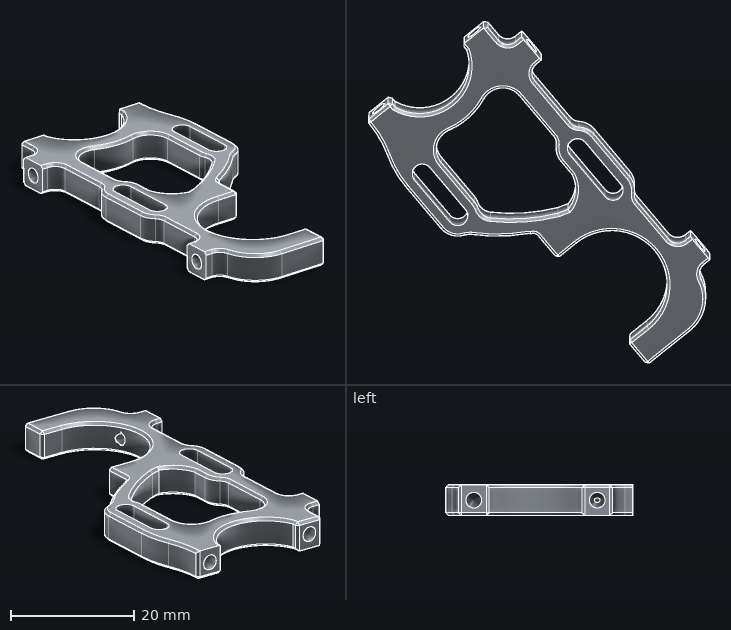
import cadquery as cq
import math

TOLERANCE = 0.0005

LENGTH = 60.25
THICKNESS = 5.0
CHAMFER = 0.5
FILLET = 2.0
WALL_RADIUS = 3.5

END_WIDTH = 5.0
HALF_END = END_WIDTH / 2
PAD_Y_LOW = 5.8
PAD_SPACING = 20.0
PAD_Y_HIGH = PAD_Y_LOW + PAD_SPACING
PAD_TOP = PAD_Y_HIGH + HALF_END
BOSS_X_LEFT = 7.65
BOSS_SPACING = 43.0
BOSS_X_RIGHT = BOSS_X_LEFT + BOSS_SPACING

HOLE_DIAMETER = 2.5
PAD_HOLE_DEPTH = 5.9
BOSS_HOLE_DEPTH = 6.75
DRILL_POINT_ANGLE = 118

SLOT_RADIUS = 1.6
SLOT_SPAN = 9.05
UPPER_SLOT = (12.45, 26.85)
LOWER_SLOT = (25.2, 4.75)
UPPER_SLOT_END = (UPPER_SLOT[0] + SLOT_SPAN, UPPER_SLOT[1])
LOWER_SLOT_END = (LOWER_SLOT[0] + SLOT_SPAN, LOWER_SLOT[1])
TOP = UPPER_SLOT[1] + WALL_RADIUS
SWELL_START = 0.6

RAIL_HALF_WIDTH = 1.75
RAIL_BOTTOM = LOWER_SLOT[1] - RAIL_HALF_WIDTH
RAIL_TOP = LOWER_SLOT[1] + RAIL_HALF_WIDTH

BLEND_DISTANCE = WALL_RADIUS + FILLET
BLEND_RISE = RAIL_HALF_WIDTH + FILLET
BLEND_REACH = math.sqrt(BLEND_DISTANCE**2 - BLEND_RISE**2)
BLEND_ANGLE = math.degrees(math.asin(BLEND_RISE / BLEND_DISTANCE))

RECESS_RADIUS = 8.0
RECESS_CENTRE = (-1.7, PAD_Y_LOW + PAD_SPACING / 2)

CRADLE_RADIUS = 9.0
CRADLE_CENTRE = (LENGTH - END_WIDTH - CRADLE_RADIUS, 14.95)
CRADLE_TOP = 19.0
HOOK_RADIUS = 7.0
HOOK_CENTRE = (LENGTH - HOOK_RADIUS, RAIL_BOTTOM + HOOK_RADIUS)

BOW_RADIUS = 30.1
BOW_OUTER_START = (25.25, 27.35)
BOW_OUTER_END = (31.2, 19.9)
SHOULDER_X = 32.4
SHOULDER_FILLET = 1.0
SHOULDER_FILLET_END = 195
UPPER_WALL_END = 20
BOW_INNER_END = (31.55, 14.1)

WINDOW_WAIST_RADIUS = 11.8
WINDOW_LOW_RIGHT = [(28.0, LOWER_SLOT[1] + WALL_RADIUS), (30.95, 10.05), (32.1, 12.4)]
PEAK_RADIUS = 2.4
PEAK_LEAN = 20
PEAK_END = 46


def polar(centre, radius, angle):
    """Point on a circle, angle in degrees."""
    turn = math.radians(angle)
    return (centre[0] + radius * math.cos(turn), centre[1] + radius * math.sin(turn))


def arc(centre, radius, start, end):
    """Start, middle and end points of a circular arc."""
    return [polar(centre, radius, angle) for angle in (start, (start + end) / 2, end)]


def bowed(start, end):
    """Shallow arc of BOW_RADIUS from start to end, bulging to the upper right."""
    dx = end[0] - start[0]
    dy = end[1] - start[1]
    chord = math.hypot(dx, dy)
    bow = BOW_RADIUS - math.sqrt(BOW_RADIUS**2 - chord**2 / 4)
    middle = ((start[0] + end[0]) / 2 - dy / chord * bow, (start[1] + end[1]) / 2 + dx / chord * bow)
    return [start, middle, end]


def trace(pieces):
    """Extrude a closed outline of corner points and three-point arcs joined by straight lines."""
    path = cq.Workplane("XY").moveTo(*pieces[0][0])
    here = pieces[0][0]
    for piece in pieces:
        if math.dist(here, piece[0]) > TOLERANCE:
            path = path.lineTo(*piece[0])
        if len(piece) == 3:
            path = path.threePointArc(piece[1], piece[2])
        here = piece[-1]
    return path.close().extrude(THICKNESS)


def outline():
    """Sharp-edged plate, traced counterclockwise from the left boss."""
    left, right = BOSS_X_LEFT, BOSS_X_RIGHT
    fillet_y = RAIL_BOTTOM - FILLET
    hook_fillet_x = right + HALF_END + FILLET
    hook_dx = hook_fillet_x - HOOK_CENTRE[0]
    hook_dy = math.sqrt((HOOK_RADIUS + FILLET) ** 2 - hook_dx**2)
    hook_angle = math.degrees(math.atan2(hook_dy, hook_dx))
    pad_low = PAD_Y_LOW - HALF_END
    pad_high = PAD_Y_LOW + HALF_END
    half_recess = math.degrees(math.asin((RECESS_CENTRE[1] - pad_high) / RECESS_RADIUS))
    shoulder = (SHOULDER_X, CRADLE_TOP + SHOULDER_FILLET)
    swell_run = UPPER_SLOT[0] - SWELL_START
    swell_rise = TOP - PAD_TOP
    swell_radius = (swell_run**2 + swell_rise**2) / (4 * swell_rise)
    swell_angle = math.degrees(math.asin(swell_run / 2 / swell_radius))
    return trace([
        [(left - HALF_END, 0)],
        [(left + HALF_END, 0)],
        arc((left + HALF_END + FILLET, fillet_y), FILLET, 180, 90),
        arc((LOWER_SLOT[0] - BLEND_REACH, fillet_y), FILLET, 90, BLEND_ANGLE),
        arc(LOWER_SLOT, WALL_RADIUS, 180 + BLEND_ANGLE, 270),
        arc(LOWER_SLOT_END, WALL_RADIUS, 270, 360 - BLEND_ANGLE),
        arc((LOWER_SLOT_END[0] + BLEND_REACH, fillet_y), FILLET, 180 - BLEND_ANGLE, 90),
        arc((right - HALF_END - FILLET, fillet_y), FILLET, 90, 0),
        [(right - HALF_END, 0)],
        [(right + HALF_END, 0)],
        arc((hook_fillet_x, HOOK_CENTRE[1] - hook_dy), FILLET, 180, 180 - hook_angle),
        arc(HOOK_CENTRE, HOOK_RADIUS, -hook_angle, 0),
        [(LENGTH, CRADLE_TOP)],
        [(LENGTH - END_WIDTH, CRADLE_TOP)],
        arc(CRADLE_CENTRE, CRADLE_RADIUS, 0, -180),
        [(CRADLE_CENTRE[0] - CRADLE_RADIUS, CRADLE_TOP)],
        arc(shoulder, SHOULDER_FILLET, 270, SHOULDER_FILLET_END),
        bowed(BOW_OUTER_START, BOW_OUTER_END)[::-1],
        arc(UPPER_SLOT_END, WALL_RADIUS, UPPER_WALL_END, 90),
        arc((UPPER_SLOT[0], TOP - swell_radius), swell_radius, 90, 90 + swell_angle),
        arc((SWELL_START, PAD_TOP + swell_radius), swell_radius, swell_angle - 90, -90),
        [(0, PAD_TOP)],
        [(0, PAD_Y_HIGH - HALF_END)],
        arc(RECESS_CENTRE, RECESS_RADIUS, half_recess, -half_recess),
        [(0, pad_high)],
        [(0, pad_low)],
        arc((left - HALF_END - FILLET, pad_low - FILLET), FILLET, 90, 0),
    ])


def window():
    """Opening between the rails, traced from its lower left corner."""
    fillet_y = RAIL_TOP + FILLET
    ceiling = UPPER_SLOT[1] - WALL_RADIUS
    waist = WINDOW_WAIST_RADIUS + WALL_RADIUS
    low_y = RAIL_TOP + WALL_RADIUS
    high_y = ceiling - WALL_RADIUS
    low_angle = math.degrees(math.asin((low_y - RECESS_CENTRE[1]) / waist))
    high_angle = math.degrees(math.asin((high_y - RECESS_CENTRE[1]) / waist))
    peak_centre = polar(UPPER_SLOT_END, WALL_RADIUS + PEAK_RADIUS, 270 + PEAK_LEAN)
    peak = arc(peak_centre, PEAK_RADIUS, PEAK_END, 90 + PEAK_LEAN)
    return trace([
        arc(polar(RECESS_CENTRE, waist, low_angle), WALL_RADIUS, 180 + low_angle, 270),
        arc((LOWER_SLOT[0] - BLEND_REACH, fillet_y), FILLET, 270, 360 - BLEND_ANGLE),
        arc(LOWER_SLOT, WALL_RADIUS, 180 - BLEND_ANGLE, 90),
        WINDOW_LOW_RIGHT,
        bowed(peak[0], BOW_INNER_END)[::-1],
        peak,
        arc(UPPER_SLOT_END, WALL_RADIUS, 270 + PEAK_LEAN, 270),
        arc(polar(RECESS_CENTRE, waist, high_angle), WALL_RADIUS, 90, 180 + high_angle),
        arc(RECESS_CENTRE, WINDOW_WAIST_RADIUS, high_angle, low_angle),
    ])


def is_chamfered(edge):
    """Select the edges to chamfer.

    Upright edges count only at the pad faces and the cradle top. The flat outlines count
    except at the boss faces, the top of the high pad face and the bottom of the low one.
    """
    middle = edge.Center()
    box = edge.BoundingBox()
    is_vertical = box.zlen > TOLERANCE
    if is_vertical:
        at_pad_end = middle.x < TOLERANCE
        at_cradle_top = abs(middle.y - CRADLE_TOP) < TOLERANCE and middle.x > SHOULDER_X + CHAMFER
        return at_pad_end or at_cradle_top
    on_pad_face = middle.x < TOLERANCE
    if on_pad_face:
        at_top = middle.z > THICKNESS / 2
        on_low_pad = middle.y < RECESS_CENTRE[1]
        return at_top == on_low_pad
    return middle.y > TOLERANCE


def slot(left_end):
    """Cutter for a through slot."""
    return (
        cq.Workplane("XY")
        .center(left_end[0] + SLOT_SPAN / 2, left_end[1])
        .slot2D(SLOT_SPAN + 2 * SLOT_RADIUS, 2 * SLOT_RADIUS)
        .extrude(THICKNESS)
    )


def hole(mouth, direction, depth):
    """Cutter for a drilled hole at mid-thickness, running along +X or +Y."""
    radius = HOLE_DIAMETER / 2
    point = radius / math.tan(math.radians(DRILL_POINT_ANGLE / 2))
    profile = cq.Workplane("XY").polyline([(0, 0), (radius, 0), (radius, depth), (0, depth + point)]).close()
    drill = profile.revolve(360, (0, 0), (0, 1))
    if direction == "X":
        drill = drill.rotate((0, 0, 0), (0, 0, 1), -90)
    return drill.translate((*mouth, THICKNESS / 2))


body = outline().cut(window())
chamfered_edges = [edge for edge in body.edges().vals() if is_chamfered(edge)]
body = body.newObject(chamfered_edges).chamfer(CHAMFER)

for left_end in (UPPER_SLOT, LOWER_SLOT):
    body = body.cut(slot(left_end))
for pad_y in (PAD_Y_LOW, PAD_Y_HIGH):
    body = body.cut(hole((0, pad_y), "X", PAD_HOLE_DEPTH))
for boss_x in (BOSS_X_LEFT, BOSS_X_RIGHT):
    body = body.cut(hole((boss_x, 0), "Y", BOSS_HOLE_DEPTH))

result = body